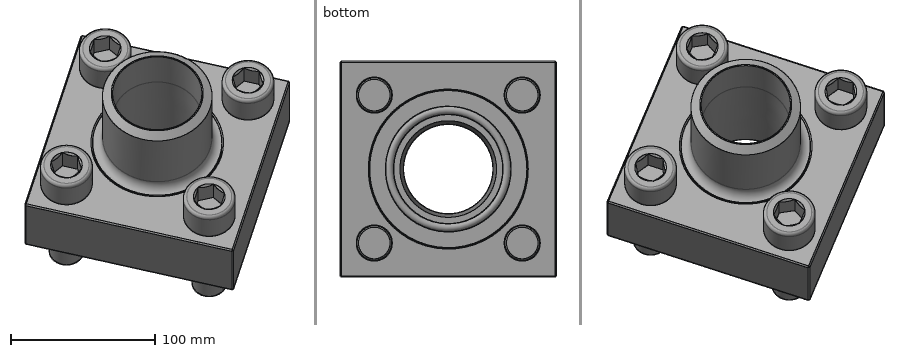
import cadquery as cq
import math

plate_side = 150.0
plate_height = 48.0
plate_chamfer = 1.0
neck_hole_diameter = 90.0
neck_hole_chamfer = 1.0
counterbore_diameter = 111.0
counterbore_depth = plate_height / 2
bolt_hole_diameter = 25.0
bolt_spacing = 102.6

tube_diameter = 76.0
tube_top = 107.1
neck_bottom = -2.0
collar_diameter = 89.5
shoulder_diameter = 110.0
shoulder_chamfer = 0.5
bore_diameter = 62.0
bore_bottom_diameter = 67.0
straight_bore_length = 30.0
rim_diameter = 63.8
rim_bevel_height = 3.6
collar_fillet = (collar_diameter - tube_diameter) / 2

seal_section = 5.4
seal_inner_diameter = 76.0
seal_bottom = -3.2
groove_inner_diameter = 75.6
groove_outer_diameter = 87.3

screw_diameter = 24.0
screw_length = 80.0
screw_tip_chamfer = 1.0
head_diameter = 36.0
head_height = 24.0
head_fillet = 2.4
socket_sides = 6
socket_corner_diameter = 21.9
socket_depth = 15.9
socket_bevel_angle = 45.0
screw_count = 4


def at_screw_axes(workplane):
    """Place the four screw axes on a square."""
    return workplane.rect(bolt_spacing, bolt_spacing, forConstruction=True).vertices()


def make_plate():
    plate = cq.Workplane("XY").box(plate_side, plate_side, plate_height, centered=(True, True, False))
    plate = plate.edges().chamfer(plate_chamfer)
    plate = plate.cut(cq.Workplane("XY").circle(neck_hole_diameter / 2).extrude(plate_height))
    neck_hole_rim = cq.selectors.RadiusNthSelector(0)
    plate = plate.faces(">Z").edges(neck_hole_rim).chamfer(neck_hole_chamfer)
    plate = plate.cut(cq.Workplane("XY").circle(counterbore_diameter / 2).extrude(counterbore_depth))
    bolt_holes = at_screw_axes(cq.Workplane("XY")).circle(bolt_hole_diameter / 2).extrude(plate_height)
    return plate.cut(bolt_holes)


def make_neck():
    tube_radius = tube_diameter / 2
    collar_radius = collar_diameter / 2
    shoulder_radius = shoulder_diameter / 2
    fillet_inset = collar_fillet * (1 - math.sqrt(0.5))
    profile = (
        cq.Workplane("XZ")
        .moveTo(bore_bottom_diameter / 2, neck_bottom)
        .lineTo(shoulder_radius - shoulder_chamfer, neck_bottom)
        .lineTo(shoulder_radius, neck_bottom + shoulder_chamfer)
        .lineTo(shoulder_radius, counterbore_depth)
        .lineTo(collar_radius, counterbore_depth)
        .lineTo(collar_radius, plate_height)
        .threePointArc(
            (tube_radius + fillet_inset, plate_height + fillet_inset),
            (tube_radius, plate_height + collar_fillet),
        )
        .lineTo(tube_radius, tube_top - rim_bevel_height)
        .lineTo(rim_diameter / 2, tube_top)
        .lineTo(bore_diameter / 2, tube_top)
        .lineTo(bore_diameter / 2, tube_top - straight_bore_length)
        .close()
    )
    neck = profile.revolve(360, (0, 0, 0), (0, 1, 0))
    groove = (
        cq.Workplane("XY")
        .workplane(offset=neck_bottom)
        .circle(groove_outer_diameter / 2)
        .circle(groove_inner_diameter / 2)
        .extrude(seal_bottom + seal_section - neck_bottom)
    )
    return neck.cut(groove)


def make_seal():
    centre_radius = (seal_inner_diameter + seal_section) / 2
    centre_height = seal_bottom + seal_section / 2
    section = cq.Workplane("XZ").center(centre_radius, centre_height).circle(seal_section / 2)
    return section.revolve(360, (-centre_radius, 0, 0), (-centre_radius, 1, 0))


def make_screw():
    """One screw on the Z axis, with its head resting on Z = 0."""
    head = cq.Workplane("XY").circle(head_diameter / 2).extrude(head_height).edges().fillet(head_fillet)
    shank = cq.Workplane("XY").circle(screw_diameter / 2).extrude(-screw_length)
    shank = shank.faces("<Z").chamfer(screw_tip_chamfer)
    socket = (
        cq.Workplane("XY")
        .workplane(offset=head_height)
        .polygon(socket_sides, socket_corner_diameter)
        .extrude(-socket_depth)
    )
    socket_radius = socket_corner_diameter / 2
    bevel_depth = socket_radius * math.tan(math.radians(socket_bevel_angle))
    bevel = cq.Workplane(
        cq.Solid.makeCone(0, socket_radius, bevel_depth, pnt=cq.Vector(0, 0, head_height - bevel_depth))
    )
    return head.union(shank).cut(socket).cut(bevel)


def make_screws():
    """One screw per corner, each the last one turned by a quarter about the plate's axis."""
    first_screw = make_screw().translate((-bolt_spacing / 2, -bolt_spacing / 2, plate_height))
    screws = []
    for index in range(screw_count):
        angle = index * 360 / screw_count
        screws.append(first_screw.rotate((0, 0, 0), (0, 0, 1), angle).val())
    return screws


plate = make_plate()
neck = make_neck()
seal = make_seal()
screws = make_screws()

result = cq.Compound.makeCompound([plate.val(), neck.val(), seal.val(), *screws])